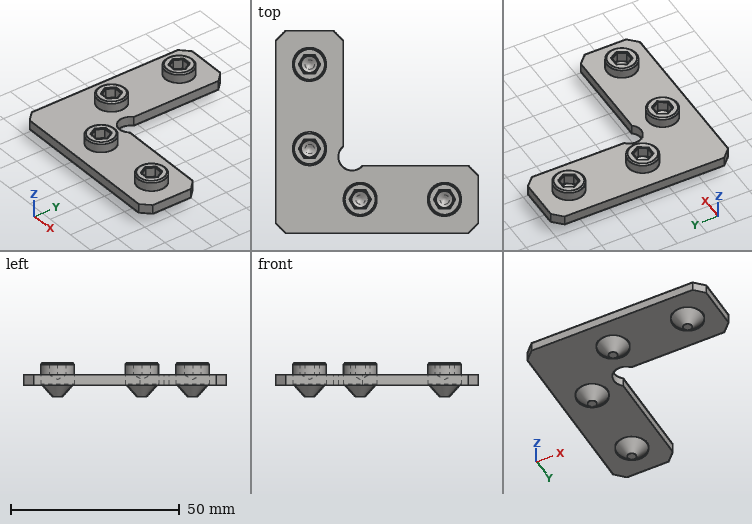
import cadquery as cq
import math

HEX_SIDES = 6

leg_length = 60.0
leg_width = 20.05
plate_thickness = 3.2
corner_chamfer = 3.0

relief_radius = 4.0
relief_centre = 22.6

screw_radius = 5.0
screw_top_chamfer = 0.5
screw_projection = 3.4
tip_radius = 1.4
cone_half_angle = 42.5
socket_across_flats = 5.0
socket_depth = 3.4
socket_bevel = 0.3
socket_floor_half_angle = 60.0

leg_middle = leg_width / 2
inner_screw = 25.0
outer_screw = leg_length - leg_middle
screw_centres = [
    (leg_middle, outer_screw),
    (leg_middle, inner_screw),
    (inner_screw, leg_middle),
    (outer_screw, leg_middle),
]

screw_top = plate_thickness + screw_projection
screw_bottom = -screw_projection


def make_plate():
    """L-shaped plate with chamfered outer corners, a corner relief and screw holes."""
    c = corner_chamfer
    outline = [
        (c, 0),
        (leg_length - c, 0),
        (leg_length, c),
        (leg_length, leg_width - c),
        (leg_length - c, leg_width),
        (leg_width, leg_width),
        (leg_width, leg_length - c),
        (leg_width - c, leg_length),
        (c, leg_length),
        (0, leg_length - c),
        (0, c),
    ]
    blank = cq.Workplane("XY").polyline(outline).close().extrude(plate_thickness)
    relief = (
        cq.Workplane("XY")
        .center(relief_centre, relief_centre)
        .circle(relief_radius)
        .extrude(plate_thickness)
    )
    screw_holes = (
        cq.Workplane("XY")
        .pushPoints(screw_centres)
        .circle(screw_radius)
        .extrude(plate_thickness)
    )
    return blank.cut(relief).cut(screw_holes)


def across_corners(across_flats):
    """Corner-to-corner width of a regular hexagon."""
    return across_flats / math.cos(math.pi / HEX_SIDES)


def make_socket():
    """Hex socket volume: bevelled mouth, straight walls and a conical floor."""
    wall_width = across_corners(socket_across_flats)
    mouth_width = across_corners(socket_across_flats + 2 * socket_bevel)
    top_plane = cq.Workplane("XY").workplane(offset=screw_top)
    walls = top_plane.polygon(HEX_SIDES, wall_width).extrude(-socket_depth)
    mouth = (
        top_plane.polygon(HEX_SIDES, mouth_width)
        .workplane(offset=-socket_bevel)
        .polygon(HEX_SIDES, wall_width)
        .loft(ruled=True)
    )
    floor_radius = socket_across_flats / 2
    floor_depth = floor_radius / math.tan(math.radians(socket_floor_half_angle))
    floor_top = screw_top - socket_depth
    floor = (
        cq.Workplane("XZ")
        .polyline([(0, floor_top), (floor_radius, floor_top), (0, floor_top - floor_depth)])
        .close()
        .revolve(360, (0, 0, 0), (0, 1, 0))
    )
    return walls.union(mouth).union(floor)


def make_screw():
    """Set screw on the Z axis with a chamfered top, a conical point and a hex socket."""
    cone_height = (screw_radius - tip_radius) / math.tan(math.radians(cone_half_angle))
    half_profile = [
        (0, screw_bottom),
        (tip_radius, screw_bottom),
        (screw_radius, screw_bottom + cone_height),
        (screw_radius, screw_top - screw_top_chamfer),
        (screw_radius - screw_top_chamfer, screw_top),
        (0, screw_top),
    ]
    body = cq.Workplane("XZ").polyline(half_profile).close().revolve(360, (0, 0, 0), (0, 1, 0))
    return body.cut(make_socket())


plate = make_plate()
screw = make_screw()
screws = []
for x, y in screw_centres:
    screws.append(screw.translate((x, y, 0)).val())

result = cq.Compound.makeCompound([plate.val(), *screws])